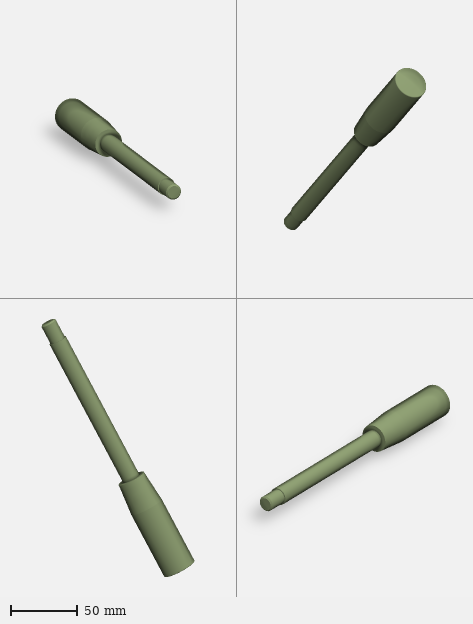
import cadquery as cq

total_length = 215.9
grip_radius = 13.0
grip_length = 79.7
grip_taper_length = 24.6
grip_neck_radius = 10.8
dome_height = 0.9
rim_fillet = 0.6
rod_radius = 7.0
spigot_radius = 6.0
spigot_length = 16.0
spigot_chamfer = 1.0

left_end = -total_length / 2
right_end = total_length / 2
grip_end = left_end + grip_length
taper_start = grip_end - grip_taper_length
spigot_start = right_end - spigot_length

dome_radius = (grip_radius**2 + dome_height**2) / (2 * dome_height)
dome_mid_drop = dome_radius - (dome_radius**2 - (grip_radius / 2) ** 2) ** 0.5

half_section = (
    cq.Workplane("XY")
    .moveTo(left_end, 0)
    .threePointArc(
        (left_end + dome_mid_drop, grip_radius / 2),
        (left_end + dome_height, grip_radius),
    )
    .lineTo(taper_start, grip_radius)
    .lineTo(grip_end, grip_neck_radius)
    .lineTo(grip_end, rod_radius)
    .lineTo(spigot_start, rod_radius)
    .lineTo(spigot_start, spigot_radius)
    .lineTo(right_end - spigot_chamfer, spigot_radius)
    .lineTo(right_end, spigot_radius - spigot_chamfer)
    .lineTo(right_end, 0)
    .close()
)

handle = half_section.revolve(360, (0, 0, 0), (1, 0, 0))

rim_position = (left_end + dome_height, 0, 0)
result = handle.edges(cq.NearestToPointSelector(rim_position)).fillet(rim_fillet)